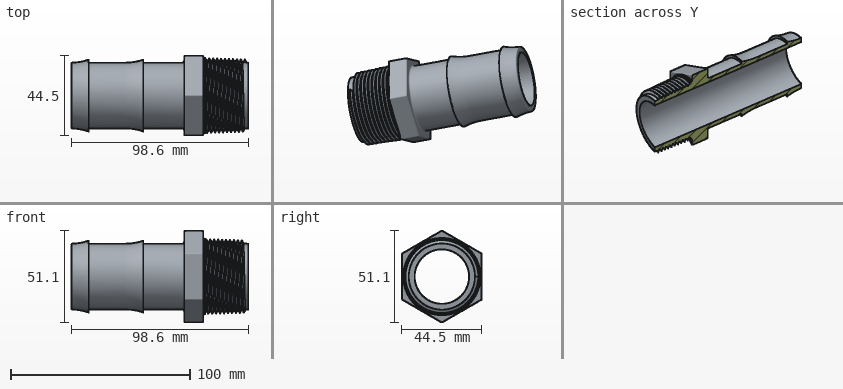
import cadquery as cq
import math


overall_length = 98.55
first_barb_peak_x = 9.55
second_barb_start_x = 30.3
second_barb_peak_x = 40.1
hex_start_x = 62.75
hex_end_x = 73.5
collar_end_x = 74.6

bore_diameter = 30.23
shank_diameter = 36.83
barb_diameter = 40.1
collar_diameter = 42.16

hose_end_fillet = 0.6
shank_root_fillet = 0.9
collar_root_fillet = 0.5

hex_across_flats = 44.45
hex_edge_fillet = 0.76

inch = 25.4
threads_per_inch = 11.5
thread_pitch = inch / threads_per_inch
taper_on_diameter = 1 / 16
taper_slope = taper_on_diameter / 2
thread_turns = 11
thread_end_x = 96.64
thread_depth = 1.75
thread_base_width = 2.03
thread_overlap = 0.2

shank_radius = shank_diameter / 2
barb_radius = barb_diameter / 2
hex_width = hex_end_x - hex_start_x


def body_radius(x):
    """Radius of the tapered thread body; it equals the shank radius at the threaded end."""
    return shank_radius + (overall_length - x) * taper_slope


def revolve_about_x(profile):
    return profile.close().revolve(360, (0, 0, 0), (1, 0, 0))


def barb_arc_radius(length):
    """Radius of the concave arc that leaves the shank tangentially and rises to the barb peak."""
    rise = barb_radius - shank_radius
    return (length**2 + rise**2) / (2 * rise)


def hose_shank():
    second_barb_length = second_barb_peak_x - second_barb_start_x
    profile = (
        cq.Workplane("XY")
        .lineTo(0, shank_radius)
        .radiusArc((first_barb_peak_x, barb_radius), -barb_arc_radius(first_barb_peak_x))
        .lineTo(first_barb_peak_x, shank_radius)
        .lineTo(second_barb_start_x, shank_radius)
        .radiusArc((second_barb_peak_x, barb_radius), -barb_arc_radius(second_barb_length))
        .lineTo(second_barb_peak_x, shank_radius)
        .lineTo(hex_start_x - shank_root_fillet, shank_radius)
        .radiusArc((hex_start_x, shank_radius + shank_root_fillet), -shank_root_fillet)
        .lineTo(hex_end_x, shank_radius + shank_root_fillet)
        .lineTo(hex_end_x, 0)
    )
    return revolve_about_x(profile).faces("<X").edges().fillet(hose_end_fillet)


def hexagon():
    across_corners = hex_across_flats / math.cos(math.pi / 6)
    return (
        cq.Workplane("YZ")
        .workplane(offset=hex_start_x)
        .transformed(rotate=(0, 0, 90))
        .polygon(6, across_corners)
        .extrude(hex_width)
        .edges()
        .fillet(hex_edge_fillet)
    )


def collar():
    """Plain ring behind the thread, with a concave fillet against the hexagon."""
    radius = collar_diameter / 2
    root_radius = radius + collar_root_fillet
    root_end_x = hex_end_x + collar_root_fillet
    profile = (
        cq.Workplane("XY")
        .moveTo(hex_start_x + hex_width / 2, 0)
        .lineTo(hex_start_x + hex_width / 2, root_radius)
        .lineTo(hex_end_x, root_radius)
        .radiusArc((root_end_x, radius), -collar_root_fillet)
        .lineTo(collar_end_x, radius)
        .lineTo(collar_end_x, 0)
    )
    return revolve_about_x(profile)


def thread_body():
    profile = (
        cq.Workplane("XY")
        .moveTo(hex_start_x, 0)
        .lineTo(hex_start_x, body_radius(hex_start_x))
        .lineTo(overall_length, shank_radius)
        .lineTo(overall_length, 0)
    )
    return revolve_about_x(profile)


def thread_ridge():
    """Right-handed V ridge that starts inside the hexagon and ends on the +Y side."""
    length = thread_turns * thread_pitch
    start_x = thread_end_x - length
    base_radius = body_radius(start_x) - thread_overlap
    half_base = thread_base_width / 2
    taper_angle = math.degrees(math.atan(taper_slope))
    helix = cq.Wire.makeHelix(thread_pitch, length, base_radius, angle=-taper_angle)
    ridge = (
        cq.Workplane("XZ")
        .moveTo(base_radius, -half_base)
        .lineTo(base_radius + thread_overlap + thread_depth, 0)
        .lineTo(base_radius, half_base)
        .close()
        .sweep(cq.Workplane(helix), isFrenet=True)
    )
    return ridge.rotate((0, 0, 0), (1, 1, 1), 120).translate((start_x, 0, 0))


def bore():
    return cq.Workplane("YZ").circle(bore_diameter / 2).extrude(overall_length)


threaded_end = thread_body().union(thread_ridge())
outside = hose_shank().union(hexagon()).union(collar()).union(threaded_end)
result = outside.cut(bore())